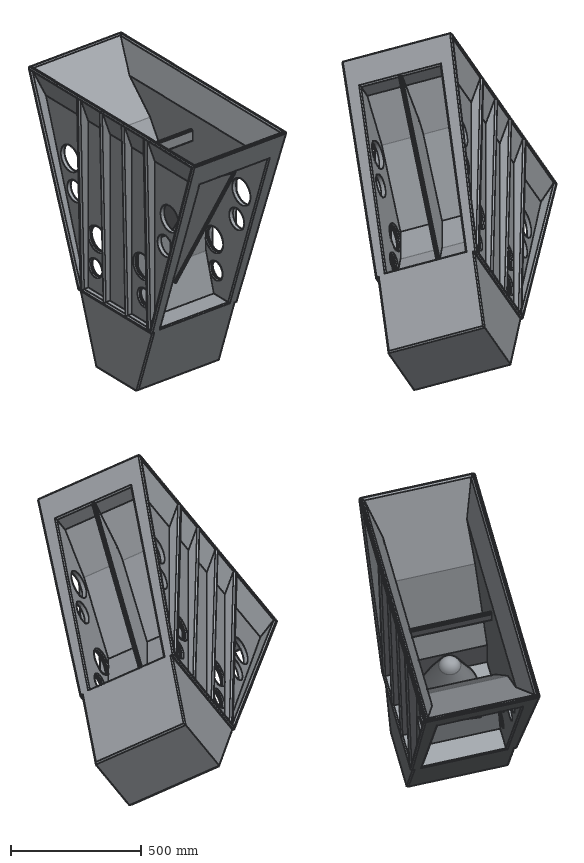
import cadquery as cq
import math

height = 1154.0
mouth_width = 1029.0
mouth_depth = 459.0
base_half_width = 130.0
box_half_depth = 202.0
box_height = 292.0
flare_foot_half_depth = 211.0
edge_chamfer = 6.0

panel_inner = 166.0
panel_thickness = 18.0
panel_outer = panel_inner + panel_thickness
panel_bend_z = 1037.0
pocket_bottom_z = 309.0
pocket_top_gap = 2.0
pocket_top_z = height - edge_chamfer - pocket_top_gap
pocket_top_half_depth = 223.0
side_rim_width = 18.0
mouth_bevel = 7.0

ribs = [(207.0, 22.0), (68.0, 15.0)]

throat_half_width = 67.0
throat_z = 605.0
throat_floor_z = 475.0
bend_half_width = 257.0
bend_z = 912.0
horn_mouth_half_width = 503.0
horn_mouth_half_depth = 213.0

horn_wall = 18.0
chamber_floor_z = 308.0
chamber_floor_inner_x = 138.0
throat_wall = 23.0
window_top_z = 1039.0

fin_thickness = 15.0
fin_chamfer = 5.0
fin_foot_x = 104.0
fin_foot_z = 383.0
fin_angle = 60.0
bar_bottom_z = 916.0
bar_height = 52.0

plug_base_radius = 111.0
plug_dome_radius = 43.0
plug_slope = 67.0

plain_holes = [(309.0, 825.0, 57.0), (280.0, 695.0, 46.0)]
bevelled_holes = [(140.0, 545.0, 57.0), (151.0, 413.0, 42.0)]
hole_bevel = 6.0

rim_z = height - edge_chamfer
side_slope = (mouth_width / 2 - base_half_width) / rim_z
depth_slope = (mouth_depth / 2 - flare_foot_half_depth) / (rim_z - box_height)


def side_x(z):
    """Half width of the body at height z."""
    return base_half_width + side_slope * z


def face_y(z):
    """Half depth of the tapered upper body at height z."""
    return flare_foot_half_depth + depth_slope * (z - box_height)


def prism_along_y(points, half_depth):
    """Prism with an (x, z) outline, centred on y = 0."""
    return cq.Workplane("XZ").polyline(points).close().extrude(half_depth, both=True)


def prism_along_x(points, half_width):
    """Prism with a (y, z) outline, centred on x = 0."""
    return cq.Workplane("YZ").polyline(points).close().extrude(half_width, both=True)


def mirrored_outline(points):
    """Closed outline made of the given right-hand points and their left-hand mirror images."""
    return points + [(-u, z) for u, z in reversed(points)]


def both_ways(solid, plane):
    """The solid together with its mirror image."""
    return solid.union(solid.mirror(plane))


def make_blank():
    """Solid body: flat sloping sides, with the front and back stepped out above the driver box."""
    width_outline = mirrored_outline([(side_x(0), 0), (side_x(height), height)])
    depth_outline = mirrored_outline([
        (box_half_depth, 0),
        (box_half_depth, box_height),
        (flare_foot_half_depth, box_height),
        (face_y(height), height),
    ])
    return prism_along_y(width_outline, mouth_depth).intersect(prism_along_x(depth_outline, mouth_width))


def front_face_plane():
    """Plane of the leaning front face, with its normal into the body and local y running upward."""
    foot = (0, -flare_foot_half_depth, box_height)
    return cq.Plane(origin=foot, xDir=(-1, 0, 0), normal=(0, 1, depth_slope))


def make_rib(x, width):
    """Upright bar with bevelled front edges, its front lying on the leaning front face."""
    rib = cq.Workplane(front_face_plane()).center(-x, 0).rect(width, 2 * height).extrude(mouth_depth / 2)
    front_edges = rib.faces("<Y").edges(cq.selectors.LengthNthSelector(-1))
    return front_edges.chamfer(mouth_bevel)


def pocket_opening(growth):
    """Outline on the front face of the opening inside the rims, its sides and foot moved out by growth."""
    bottom_z = pocket_bottom_z - growth
    inset = side_rim_width - growth * math.hypot(1, side_slope)
    stretch = math.hypot(1, depth_slope)
    outline = mirrored_outline([
        (side_x(bottom_z) - inset, (bottom_z - box_height) * stretch),
        (side_x(pocket_top_z) - inset, (pocket_top_z - box_height) * stretch),
    ])
    return cq.Workplane(front_face_plane()).polyline(outline).close()


def make_front_pockets():
    """Recesses between the ribs of the front face, down to the panel."""
    panel_front = prism_along_x([
        (-panel_outer, 0),
        (-panel_outer, panel_bend_z),
        (-pocket_top_half_depth, pocket_top_z),
        (-mouth_depth, pocket_top_z),
        (-mouth_depth, 0),
    ], mouth_width)
    opening = pocket_opening(0).extrude(mouth_depth / 2)
    bevel = pocket_opening(mouth_bevel).extrude(mouth_bevel, taper=45)
    pockets = opening.union(bevel).intersect(panel_front)
    for distance, width in ribs:
        for x in (-distance, distance):
            pockets = pockets.cut(make_rib(x, width))
    return pockets


def make_horn_cavity():
    """Space inside the horn, from the throat floor out to the mouth."""
    width_outline = mirrored_outline([
        (throat_half_width, throat_floor_z),
        (throat_half_width, throat_z),
        (bend_half_width, bend_z),
        (horn_mouth_half_width, height),
    ])
    depth_outline = mirrored_outline([
        (panel_inner, throat_floor_z),
        (panel_inner, panel_bend_z),
        (horn_mouth_half_depth, height),
    ])
    return prism_along_y(width_outline, mouth_depth).intersect(prism_along_x(depth_outline, mouth_width))


def make_side_chamber():
    """Open space between the right-hand horn wall and the side window."""
    throat_angle = math.atan2(bend_z - throat_z, bend_half_width - throat_half_width)
    mouth_angle = math.atan2(height - bend_z, horn_mouth_half_width - bend_half_width)
    mean_angle = (throat_angle + mouth_angle) / 2
    bend_offset = horn_wall / math.cos((throat_angle - mouth_angle) / 2)
    outer_bend_x = bend_half_width + bend_offset * math.sin(mean_angle)
    outer_bend_z = bend_z - bend_offset * math.cos(mean_angle)
    throat_wall_x = throat_half_width + throat_wall
    throat_wall_top_z = outer_bend_z - (outer_bend_x - throat_wall_x) * math.tan(throat_angle)
    window_top_inner_x = outer_bend_x + (window_top_z - outer_bend_z) / math.tan(mouth_angle)
    return prism_along_y([
        (mouth_width, chamber_floor_z),
        (chamber_floor_inner_x, chamber_floor_z),
        (throat_wall_x, throat_floor_z),
        (throat_wall_x, throat_wall_top_z),
        (outer_bend_x, outer_bend_z),
        (window_top_inner_x, window_top_z),
        (mouth_width, window_top_z),
    ], panel_inner)


def make_hole(x, z, radius, bevel):
    """Hole through the front panel, bevelled on both panel faces if bevel is not zero."""
    bore = radius - bevel
    half = panel_thickness / 2
    wall = [(radius, -half), (radius, half)]
    if bevel > 0:
        wall = [(radius, -half), (bore, bevel - half), (bore, half - bevel), (radius, half)]
    profile = [(0, -half)] + wall + [(0, half)]
    hole = cq.Workplane("XY").polyline(profile).close().revolve(360, (0, 0, 0), (0, 1, 0))
    return hole.translate((x, -(panel_inner + panel_outer) / 2, z))


def make_fin():
    """Thin web under the right-hand horn wall with a straight sloping outer edge."""
    slope = math.radians(fin_angle)
    fin_top_x = fin_foot_x + (window_top_z - fin_foot_z) / math.tan(slope)
    fin = prism_along_y([
        (throat_half_width + throat_wall / 2, fin_foot_z),
        (fin_foot_x, fin_foot_z),
        (fin_top_x, window_top_z),
        (bend_half_width + horn_wall / 2, bend_z),
        (throat_half_width + throat_wall / 2, throat_z),
    ], fin_thickness / 2)
    sloping_face = cq.Vector(math.sin(slope), 0, -math.cos(slope))
    return fin.faces(cq.selectors.DirectionSelector(sloping_face)).edges("not |Y").chamfer(fin_chamfer)


def make_bar():
    """Bar across the middle of the horn mouth from front panel to back panel."""
    bar = cq.Workplane("XY").box(fin_thickness, 2 * panel_outer, bar_height)
    bar = bar.edges("|Y").chamfer(fin_chamfer)
    return bar.translate((0, 0, bar_bottom_z + bar_height / 2))


def make_plug():
    """Cone with a rounded tip, trimmed to the width of the throat."""
    slope = math.radians(plug_slope)
    cone_height = (plug_base_radius - plug_dome_radius) * math.tan(slope)
    sphere_radius = plug_dome_radius / math.sin(slope)
    sphere_z = cone_height - sphere_radius * math.cos(slope)
    mid_angle = math.radians(90 - plug_slope / 2)
    dome_middle = (sphere_radius * math.cos(mid_angle), sphere_z + sphere_radius * math.sin(mid_angle))
    plug = (
        cq.Workplane("XZ")
        .lineTo(plug_base_radius, 0)
        .lineTo(plug_dome_radius, cone_height)
        .threePointArc(dome_middle, (0, sphere_z + sphere_radius))
        .close()
        .revolve(360, (0, 0, 0), (0, 1, 0))
    )
    throat = cq.Workplane("XY").box(2 * throat_half_width, 2 * panel_inner, height)
    return plug.intersect(throat).translate((0, 0, throat_floor_z))


def faces_towards(solid, x, y, z):
    """Planar faces of the solid with the given outward normal."""
    return solid.faces(cq.selectors.DirectionSelector(cq.Vector(x, y, z).normalized()))


def chamfer_outer_edges(solid):
    """Chamfer every edge of the outer faces: body rims, horn mouth and side windows."""
    edges = solid.faces(">Z").edges()
    for sign in (-1, 1):
        edges = edges.add(faces_towards(solid, sign, 0, -side_slope).edges())
        edges = edges.add(faces_towards(solid, 0, sign, -depth_slope).edges())
    distinct = {edge.hashCode(): edge for edge in edges.vals()}
    return solid.newObject(list(distinct.values())).chamfer(edge_chamfer)


side_chambers = both_ways(make_side_chamber(), "YZ")
body = make_blank().cut(side_chambers).cut(make_horn_cavity())
body = chamfer_outer_edges(body)
body = body.cut(both_ways(make_front_pockets(), "XZ"))

for holes, bevel in ((plain_holes, 0), (bevelled_holes, hole_bevel)):
    for x, z, radius in holes:
        pair = both_ways(make_hole(x, z, radius, bevel), "XZ")
        body = body.cut(pair).cut(pair.mirror("YZ"))

result = body.union(both_ways(make_fin(), "YZ")).union(make_bar()).union(make_plug())